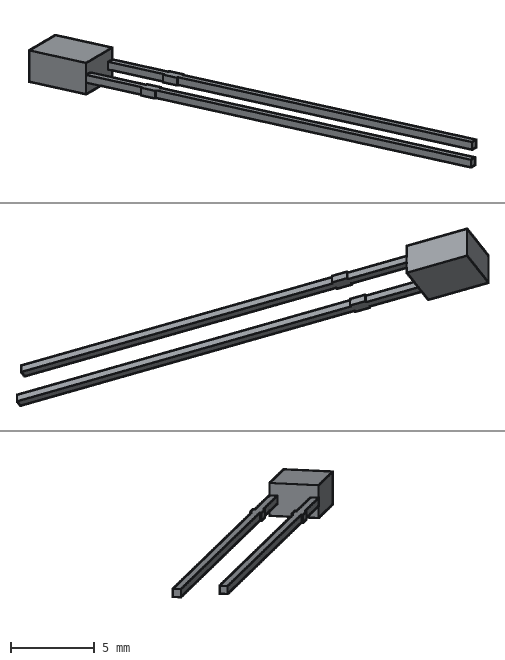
import cadquery as cq

total_length = 31.0
body_length = 4.0
body_width = 3.0
body_height = 2.0

lead_pitch = 2.55
lead_width = 0.5
lead_thickness = 0.5
short_lead_setback = 1.5

stop_width = 0.7
stop_length = 1.0
stop_offset = 3.9


def bar(start, end, width, height, center_y=0):
    """Rectangular bar along X from start to end, centred on Z = 0."""
    return (
        cq.Workplane("XY")
        .box(end - start, width, height, centered=(False, True, True))
        .translate((start, center_y, 0))
    )


def lead(tip, center_y):
    """Lead running from the body face to its tip, with its stop."""
    stop_start = body_length + stop_offset
    wire = bar(body_length, tip, lead_width, lead_thickness, center_y)
    stop = bar(stop_start, stop_start + stop_length, stop_width, lead_thickness, center_y)
    return wire.union(stop)


body = bar(0, body_length, body_width, body_height)
long_lead = lead(total_length, -lead_pitch / 2)
short_lead = lead(total_length - short_lead_setback, lead_pitch / 2)

result = body.union(long_lead).union(short_lead)